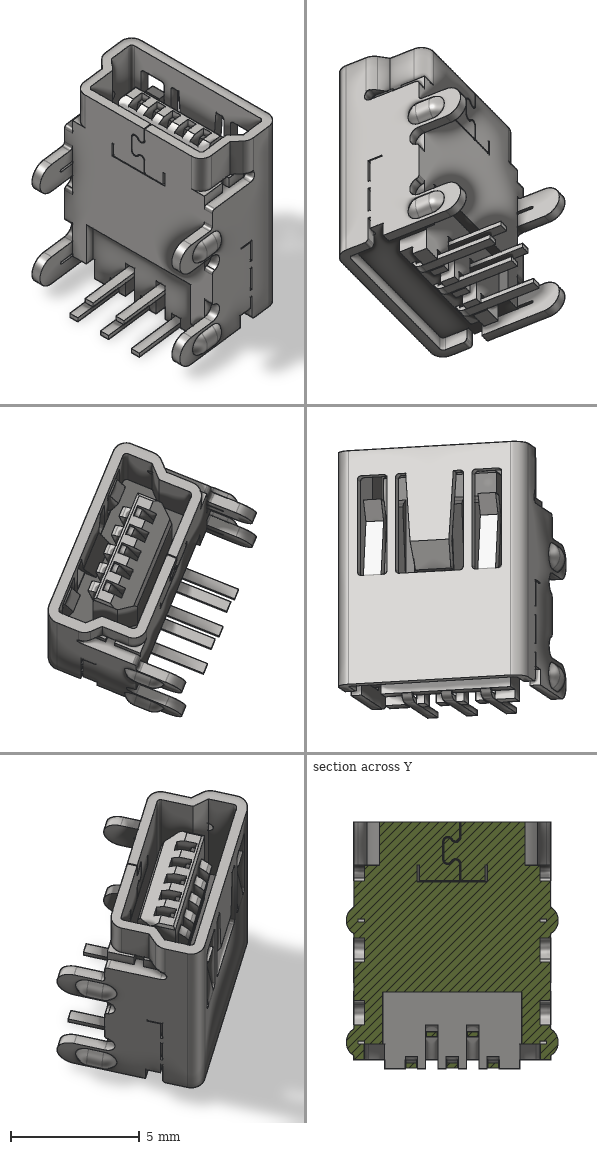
import cadquery as cq
import math


SELECT_TOLERANCE = 0.01

SHELL_HALF = 3.85
SHELL_DEPTH = 3.9
SHELL_TOP = 9.3
SIDE_WALL = 0.42
FRONT_WALL = 0.4
INNER_HALF = SHELL_HALF - SIDE_WALL
INNER_BACK = SHELL_DEPTH - SIDE_WALL
BACK_RADIUS = 0.55
INNER_RADIUS = 0.15

MOUTH_BOTTOM = 7.61
MOUTH_FRONT_HALF = 3.32
MOUTH_STEP_LOW = 1.65
MOUTH_STEP_HIGH = MOUTH_STEP_LOW + SHELL_HALF - MOUTH_FRONT_HALF
MOUTH_STEP_RADIUS = 0.6
MOUTH_FRONT_RADIUS = 0.55
MOUTH_SIDE_WALL = 0.38
CAVITY_FRONT_HALF = MOUTH_FRONT_HALF - MOUTH_SIDE_WALL
CAVITY_STEP_LOW = 1.82
CAVITY_STEP_HIGH = CAVITY_STEP_LOW + INNER_HALF - CAVITY_FRONT_HALF
CAVITY_FLOOR = 4.1

SIDE_SLOT_BOTTOM = 7.11
SIDE_SLOT_END = 2.5
CORNER_RADIUS = 0.15

LEG_HEIGHT = 1.38
LEG_RADIUS = LEG_HEIGHT / 2
LEG_TIP = -1.92
LEG_PITCH = 4.76
LEG_CENTRES = (LEG_RADIUS, LEG_RADIUS + LEG_PITCH)
RELIEF_RADIUS = 0.42
BUMP_PROUD = 0.3
BUMP_RADIUS = 0.525
BUMP_SPHERE = (BUMP_RADIUS**2 + BUMP_PROUD**2) / (2 * BUMP_PROUD)
BUMP_BACK = -0.03
BUMP_FRONT = -0.645
BUMP_LENGTH = BUMP_BACK - BUMP_FRONT
BUMP_MIDDLE = (BUMP_BACK + BUMP_FRONT) / 2
DIMPLE_WIDTH = 0.12
DIMPLE_DEPTH = 0.25

EDGE_NOTCH_HEIGHT = 0.62
EDGE_NOTCH_FRONT = 1.65
EDGE_NOTCH_BACK = 2.34
WINDOW_HALF = 2.71
WINDOW_TOP = 2.65

SLIT_WIDTH = 0.09
SLIT_TOP = 4.07
SLIT_HEAD_FRONT = 1.71
SLIT_HEAD_WIDTH = 0.05
SLIT_RUNS = ((EDGE_NOTCH_HEIGHT, 1.18), (1.54, 2.67), (3.03, SLIT_TOP))

SEAM_WIDTH = 0.04
SEAM_X = 0.31
SEAM_KEY_X = -0.345
SEAM_KEY_TOP = 8.59
SEAM_KEY_BOTTOM = 7.77
SEAM_WAVE = 0.09
SEAM_BOTTOM = 6.98
SEAM_CLIP_HALF = 1.33
SEAM_CLIP_WIDTH = 0.085

SPRING_WINDOW_TOP = 8.27
SPRING_WINDOW_BOTTOM = 4.3
SPRING_WINDOW_RADIUS = 0.15
SPRING_THICKNESS = SIDE_WALL
CENTRE_WINDOW_HALF = 1.38
CENTRE_SPRING_HALF = 0.97
CENTRE_SPRING_TIP_HALF = 0.72
CENTRE_SPRING_TIP_Y = 2.97
CENTRE_SPRING_TIP_Z = 4.5
CENTRE_SPRING_BEND_Z = 5.55
SIDE_SPRING_X = 2.33
SIDE_WINDOW_HALF = 0.6
SIDE_SPRING_HALF = 0.36
SIDE_SPRING_TOP = 7.3
SIDE_SPRING_CREST_Y = 3.13
SIDE_SPRING_CREST_Z = 6.5

GROOVE_BACK = 1.46
GROOVE_FRONT = 1.08
GROOVE_DEPTH = 0.3
FOOT_HALF = 2.64
FOOT_BOTTOM = -0.35
FOOT_FRONT = FRONT_WALL
FOOT_BACK = 1.05

TONGUE_HALF = 2.3
TONGUE_BACK = 2.45
TONGUE_FRONT = 0.8
TONGUE_TOP = 8.5
TONGUE_BEVEL = 0.1
TONGUE_EDGE_Y = 1.76
TONGUE_SLOPE_Y = 0.92
TONGUE_SLOPE_DROP = 0.45
TONGUE_NOSE_DROP = 0.3
TONGUE_CORNER_X = 0.53
TONGUE_CORNER_Y = 0.63

PIN_POSITIONS = (-2, -1, 0, 1, 2)
PIN_PITCH = 0.8
PIN_WIDTH = 0.42
PIN_THICKNESS = 0.21
PIN_TIP = -2.0
PIN_ROOT_Y = 1.61
LOW_PIN_TOP = -0.11
HIGH_PIN_TOP = 1.11
PIN_BEND_RADIUS = 0.43
PIN_SLOT_WIDTH = 0.47
PIN_SLOT_RISE = 0.25
CONTACT_RECESS = 0.35
CONTACT_TOP = TONGUE_TOP - CONTACT_RECESS
CONTACT_POCKET_BACK = 2.26
CONTACT_LAND_FRONT = 2.05
CONTACT_WELL_FRONT = 1.46
CONTACT_WELL_DEPTH = 1.7
CONTACT_BEND_Y = 2.74
CONTACT_CREST_Y = 2.87
CONTACT_BOW_TOP = 7.5
CONTACT_BEND_Z = 7.3
CONTACT_CREST_Z = 7.15


def box(x0, x1, y0, y1, z0, z1):
    """Block between two opposite corners."""
    return cq.Workplane("XY").box(x1 - x0, y1 - y0, z1 - z0, centered=False).translate((x0, y0, z0))


def both_sides(body):
    """Body together with its mirror image about X = 0."""
    return body.union(body.mirror("YZ"))


def yz_prism(points, x0, x1):
    """Outline in (Y, Z) swept from x0 to x1."""
    return cq.Workplane("YZ").workplane(offset=x0).polyline(points).close().extrude(x1 - x0)


def keyed_prism(half, front_half, front, back, step_low, step_high, z0, z1):
    """Keyed mouth section: wide at the back, narrowed by sloping steps at the front."""
    outline = [
        (-half, back), (-half, step_high), (-front_half, step_low), (-front_half, front),
        (front_half, front), (front_half, step_low), (half, step_high), (half, back),
    ]
    return cq.Workplane("XY").workplane(offset=z0).polyline(outline).close().extrude(z1 - z0)


def vertical_edges(body, half, y):
    """The pair of vertical edges at x = -half and x = +half for one y."""
    tol = SELECT_TOLERANCE
    left = cq.selectors.BoxSelector((-half - tol, y - tol, 0), (-half + tol, y + tol, SHELL_TOP))
    right = cq.selectors.BoxSelector((half - tol, y - tol, 0), (half + tol, y + tol, SHELL_TOP))
    return body.edges("|Z").edges(left + right)


def mouth_cavity(z0):
    """Open space of the receptacle from z0 to the mouth."""
    cavity = keyed_prism(INNER_HALF, CAVITY_FRONT_HALF, FRONT_WALL, INNER_BACK,
                         CAVITY_STEP_LOW, CAVITY_STEP_HIGH, z0, SHELL_TOP)
    cavity = vertical_edges(cavity, INNER_HALF, INNER_BACK).fillet(INNER_RADIUS)
    return vertical_edges(cavity, CAVITY_FRONT_HALF, FRONT_WALL).fillet(INNER_RADIUS)


def shell_mouth():
    """Keyed tube forming the upper end of the shell."""
    tube = keyed_prism(SHELL_HALF, MOUTH_FRONT_HALF, 0, SHELL_DEPTH,
                       MOUTH_STEP_LOW, MOUTH_STEP_HIGH, MOUTH_BOTTOM, SHELL_TOP)
    tube = vertical_edges(tube, SHELL_HALF, SHELL_DEPTH).fillet(BACK_RADIUS)
    tube = vertical_edges(tube, SHELL_HALF, MOUTH_STEP_HIGH).fillet(MOUTH_STEP_RADIUS)
    tube = vertical_edges(tube, MOUTH_FRONT_HALF, 0).fillet(MOUTH_FRONT_RADIUS)
    return tube.cut(mouth_cavity(MOUTH_BOTTOM))


def shell_body():
    """Rectangular tube below the mouth, with the window in its front plate."""
    outer = box(-SHELL_HALF, SHELL_HALF, 0, SHELL_DEPTH, 0, MOUTH_BOTTOM)
    outer = vertical_edges(outer, SHELL_HALF, SHELL_DEPTH).fillet(BACK_RADIUS)
    inner = box(-INNER_HALF, INNER_HALF, FRONT_WALL, INNER_BACK, 0, MOUTH_BOTTOM)
    inner = vertical_edges(inner, INNER_HALF, INNER_BACK).fillet(INNER_RADIUS)
    body = outer.cut(inner)
    body = body.cut(box(-WINDOW_HALF, WINDOW_HALF, 0, FRONT_WALL, 0, WINDOW_TOP))
    return body.cut(box(-INNER_HALF, INNER_HALF, 0, FRONT_WALL, 0, EDGE_NOTCH_HEIGHT))


def corner_round(y, z, y_sign, z_sign):
    """Sliver between the corner at (y, z) and an arc touching both of its sides."""
    r = CORNER_RADIUS
    y_ends = sorted((y, y + y_sign * r))
    z_ends = sorted((z, z + z_sign * r))
    sliver = box(INNER_HALF, SHELL_HALF, *y_ends, *z_ends)
    start = cq.Workplane("YZ").workplane(offset=INNER_HALF)
    return sliver.cut(start.center(y + y_sign * r, z + z_sign * r).circle(r).extrude(SIDE_WALL))


def side_slot():
    """Round-ended slot through one side wall under the mouth."""
    radius = (MOUTH_BOTTOM - SIDE_SLOT_BOTTOM) / 2
    end_y = SIDE_SLOT_END - radius
    slot = box(INNER_HALF, SHELL_HALF, 0, end_y, SIDE_SLOT_BOTTOM, MOUTH_BOTTOM)
    start = cq.Workplane("YZ").workplane(offset=INNER_HALF)
    slot = slot.union(start.center(end_y, SIDE_SLOT_BOTTOM + radius).circle(radius).extrude(SIDE_WALL))
    return slot.union(corner_round(0, SIDE_SLOT_BOTTOM, 1, -1))


def edge_notch():
    """Notch in the lower edge of one side wall, its back corner rounded."""
    notch = box(INNER_HALF, SHELL_HALF, EDGE_NOTCH_FRONT, EDGE_NOTCH_BACK, 0, EDGE_NOTCH_HEIGHT)
    return notch.union(corner_round(EDGE_NOTCH_BACK, 0, 1, 1))


def side_slit():
    """Interrupted slit in one side plate with a short horizontal head."""
    slit = box(INNER_HALF, SHELL_HALF, SLIT_HEAD_FRONT, EDGE_NOTCH_BACK, SLIT_TOP - SLIT_HEAD_WIDTH, SLIT_TOP)
    slit_front = EDGE_NOTCH_BACK - SLIT_WIDTH
    for bottom, top in SLIT_RUNS:
        slit = slit.union(box(INNER_HALF, SHELL_HALF, slit_front, EDGE_NOTCH_BACK, bottom, top))
    return slit


def relief(leg_edge, away):
    """Half-round relief beside a leg; away is the Z sign pointing from the leg along the side plate."""
    centre_z = leg_edge + away * RELIEF_RADIUS
    far_z = centre_z + away * math.sqrt(RELIEF_RADIUS**2 - CORNER_RADIUS**2)
    round_rise = CORNER_RADIUS * (1 - math.sqrt(0.5))
    outline = (
        cq.Workplane("YZ").workplane(offset=INNER_HALF)
        .moveTo(0, leg_edge)
        .threePointArc((RELIEF_RADIUS, centre_z), (CORNER_RADIUS, far_z))
        .threePointArc((round_rise, far_z + away * round_rise), (0, far_z + away * CORNER_RADIUS))
        .close()
    )
    return outline.extrude(SIDE_WALL)


def leg(z):
    """Round-ended solder leg with its locking bump on the outer face."""
    centre_y = LEG_TIP + LEG_RADIUS
    blade = box(INNER_HALF, SHELL_HALF, centre_y, 0, z - LEG_RADIUS, z + LEG_RADIUS)
    tip = cq.Workplane("YZ").workplane(offset=INNER_HALF).center(centre_y, z)
    blade = blade.union(tip.circle(LEG_RADIUS).extrude(SIDE_WALL))

    sphere_x = SHELL_HALF + BUMP_PROUD - BUMP_SPHERE
    bar = cq.Workplane("XZ").center(sphere_x, z).circle(BUMP_SPHERE).extrude(BUMP_LENGTH)
    bump = bar.translate((0, BUMP_BACK, 0))
    for y in (BUMP_BACK, BUMP_FRONT):
        bump = bump.union(cq.Workplane("XY").sphere(BUMP_SPHERE).translate((sphere_x, y, z)))
    outside = box(SHELL_HALF, SHELL_HALF + BUMP_PROUD, LEG_TIP, SHELL_DEPTH, z - LEG_RADIUS, z + LEG_RADIUS)
    return blade.union(bump.intersect(outside))


def leg_dimple(z):
    """Slot-shaped dimple in the inner face of a leg, behind its bump."""
    start = cq.Workplane("YZ").workplane(offset=INNER_HALF).center(BUMP_MIDDLE, z)
    return start.slot2D(BUMP_LENGTH + DIMPLE_WIDTH, DIMPLE_WIDTH).extrude(DIMPLE_DEPTH)


def seam():
    """Dovetail seam in the front plate and the clip outline below it."""
    middle_x = (SEAM_X + SEAM_KEY_X) / 2
    w = SEAM_WAVE
    path = (
        cq.Workplane("XZ")
        .moveTo(SEAM_X, SHELL_TOP + SEAM_WIDTH)
        .lineTo(SEAM_X, SEAM_KEY_TOP + w)
        .threePointArc((SEAM_X - w, SEAM_KEY_TOP - w / 2), (middle_x, SEAM_KEY_TOP + w / 4))
        .threePointArc((SEAM_KEY_X + w, SEAM_KEY_TOP + w), (SEAM_KEY_X, SEAM_KEY_TOP - w / 2))
        .lineTo(SEAM_KEY_X, SEAM_KEY_BOTTOM + w / 2)
        .threePointArc((SEAM_KEY_X + w, SEAM_KEY_BOTTOM - w), (middle_x, SEAM_KEY_BOTTOM - w / 4))
        .threePointArc((SEAM_X - w, SEAM_KEY_BOTTOM + w / 2), (SEAM_X, SEAM_KEY_BOTTOM - w))
        .lineTo(SEAM_X, SEAM_BOTTOM)
    )
    slit = path.offset2D(SEAM_WIDTH / 2).extrude(-FRONT_WALL)
    clip_outer = SEAM_CLIP_HALF + SEAM_CLIP_WIDTH / 2
    clip_inner = SEAM_CLIP_HALF - SEAM_CLIP_WIDTH / 2
    half_width = SEAM_WIDTH / 2
    base = box(-clip_outer, clip_outer, 0, FRONT_WALL, SEAM_BOTTOM - half_width, SEAM_BOTTOM + half_width)
    side = box(clip_inner, clip_outer, 0, FRONT_WALL, SEAM_BOTTOM, MOUTH_BOTTOM)
    return slit.union(base).union(both_sides(side))


def spring_window(x, half):
    """Round-cornered window through the back wall."""
    window = box(x - half, x + half, INNER_BACK, SHELL_DEPTH, SPRING_WINDOW_BOTTOM, SPRING_WINDOW_TOP)
    return window.edges("|Y").fillet(SPRING_WINDOW_RADIUS)


def centre_spring():
    """Tapered finger hanging from the top of the centre window, its tip bent inward."""
    t = SPRING_THICKNESS
    side_profile = yz_prism([
        (INNER_BACK, SPRING_WINDOW_TOP), (INNER_BACK, CENTRE_SPRING_BEND_Z),
        (CENTRE_SPRING_TIP_Y, CENTRE_SPRING_TIP_Z), (CENTRE_SPRING_TIP_Y + t, CENTRE_SPRING_TIP_Z),
        (INNER_BACK + t, CENTRE_SPRING_BEND_Z), (INNER_BACK + t, SPRING_WINDOW_TOP),
    ], -CENTRE_SPRING_HALF, CENTRE_SPRING_HALF)
    taper = cq.Workplane("XZ").polyline([
        (-CENTRE_SPRING_HALF, SPRING_WINDOW_TOP), (CENTRE_SPRING_HALF, SPRING_WINDOW_TOP),
        (CENTRE_SPRING_TIP_HALF, CENTRE_SPRING_TIP_Z), (-CENTRE_SPRING_TIP_HALF, CENTRE_SPRING_TIP_Z),
    ]).close().extrude(-SHELL_DEPTH)
    return side_profile.intersect(taper)


def side_spring():
    """Finger rising from the bottom of one side window, crowned inward."""
    t = SPRING_THICKNESS
    outline = [
        (INNER_BACK, SPRING_WINDOW_BOTTOM), (SIDE_SPRING_CREST_Y, SIDE_SPRING_CREST_Z),
        (INNER_BACK, SIDE_SPRING_TOP), (INNER_BACK + t, SIDE_SPRING_TOP),
        (SIDE_SPRING_CREST_Y + t, SIDE_SPRING_CREST_Z), (INNER_BACK + t, SPRING_WINDOW_BOTTOM),
    ]
    return yz_prism(outline, SIDE_SPRING_X - SIDE_SPRING_HALF, SIDE_SPRING_X + SIDE_SPRING_HALF)


def shell():
    """Complete folded shell with legs and springs."""
    cuts = side_slot().union(edge_notch()).union(side_slit())
    low, high = LEG_CENTRES
    cuts = cuts.union(relief(low + LEG_RADIUS, 1)).union(relief(high - LEG_RADIUS, -1))
    cuts = cuts.union(spring_window(SIDE_SPRING_X, SIDE_WINDOW_HALF))
    body = shell_mouth().union(shell_body()).cut(both_sides(cuts)).cut(seam())
    body = body.cut(spring_window(0, CENTRE_WINDOW_HALF))
    body = body.union(centre_spring()).union(both_sides(side_spring()))
    body = body.union(both_sides(corner_round(0, high + LEG_RADIUS, -1, 1)))
    for z in LEG_CENTRES:
        body = body.union(both_sides(leg(z))).cut(both_sides(leg_dimple(z)))
    return body


def tongue():
    """Contact tongue standing on the cavity floor."""
    nose_z = TONGUE_TOP - TONGUE_SLOPE_DROP
    side_profile = yz_prism([
        (TONGUE_BACK, CAVITY_FLOOR), (TONGUE_BACK, TONGUE_TOP - TONGUE_BEVEL),
        (TONGUE_BACK - TONGUE_BEVEL, TONGUE_TOP), (TONGUE_EDGE_Y, TONGUE_TOP),
        (TONGUE_SLOPE_Y, nose_z), (TONGUE_FRONT, nose_z - TONGUE_NOSE_DROP), (TONGUE_FRONT, CAVITY_FLOOR),
    ], -TONGUE_HALF, TONGUE_HALF)
    nose_half = TONGUE_HALF - TONGUE_CORNER_X
    shoulder_y = TONGUE_FRONT + TONGUE_CORNER_Y
    plan = cq.Workplane("XY").polyline([
        (-TONGUE_HALF, TONGUE_BACK), (-TONGUE_HALF, shoulder_y), (-nose_half, TONGUE_FRONT),
        (nose_half, TONGUE_FRONT), (TONGUE_HALF, shoulder_y), (TONGUE_HALF, TONGUE_BACK),
    ]).close().extrude(SHELL_TOP)
    body = side_profile.intersect(plan)
    return body.edges(">Z and |Y").chamfer(TONGUE_BEVEL)


def housing():
    """Plastic body: base, cavity walls grooved behind the side slots, tongue and foot."""
    body = box(-INNER_HALF, INNER_HALF, FRONT_WALL, INNER_BACK, EDGE_NOTCH_HEIGHT, MOUTH_BOTTOM)
    groove_floor = INNER_HALF - GROOVE_DEPTH
    groove = box(groove_floor, INNER_HALF, GROOVE_FRONT, GROOVE_BACK, SIDE_SLOT_BOTTOM, MOUTH_BOTTOM)
    body = body.cut(both_sides(groove))
    body = body.cut(mouth_cavity(CAVITY_FLOOR)).union(tongue())
    body = body.union(box(-FOOT_HALF, FOOT_HALF, FOOT_BACK, EDGE_NOTCH_FRONT, 0, EDGE_NOTCH_HEIGHT))
    return body.union(box(-FOOT_HALF, FOOT_HALF, FOOT_FRONT, FOOT_BACK, FOOT_BOTTOM, CAVITY_FLOOR))


def pin_slot(x, pin_top):
    """Slot for one pin, open at the lower edge of the foot."""
    half = PIN_SLOT_WIDTH / 2
    return box(x - half, x + half, 0, FOOT_BACK, FOOT_BOTTOM, pin_top + PIN_SLOT_RISE)


def pin(x, pin_top):
    """Pin leaving the base downward and bending toward -Y."""
    half = PIN_WIDTH / 2
    bottom = pin_top - PIN_THICKNESS
    tail = box(x - half, x + half, PIN_TIP, PIN_ROOT_Y, bottom, pin_top)
    riser = box(x - half, x + half, PIN_ROOT_Y - PIN_THICKNESS, PIN_ROOT_Y, bottom, CAVITY_FLOOR)
    return tail.union(riser).edges("|X and >Y and <Z").fillet(PIN_BEND_RADIUS)


def contact_well(x):
    """Well in front of one contact at the top of the tongue."""
    half = PIN_WIDTH / 2
    well_z = CONTACT_TOP - CONTACT_WELL_DEPTH
    return yz_prism([
        (CONTACT_POCKET_BACK, CONTACT_TOP), (CONTACT_LAND_FRONT, CONTACT_TOP), (CONTACT_WELL_FRONT, well_z),
        (CONTACT_WELL_FRONT, TONGUE_TOP), (CONTACT_POCKET_BACK, TONGUE_TOP),
    ], x - half, x + half)


def contact_bow(x):
    """Bowed contact face standing out behind the tongue."""
    half = PIN_WIDTH / 2
    return yz_prism([
        (TONGUE_BACK, CAVITY_FLOOR), (TONGUE_BACK, CONTACT_BOW_TOP), (CONTACT_BEND_Y, CONTACT_BEND_Z),
        (CONTACT_CREST_Y, CONTACT_CREST_Z),
    ], x - half, x + half)


def connector():
    """Shell and housing joined, with the five contacts."""
    body = housing()
    for index in PIN_POSITIONS:
        x = index * PIN_PITCH
        pin_top = HIGH_PIN_TOP if index % 2 else LOW_PIN_TOP
        body = body.cut(pin_slot(x, pin_top)).cut(contact_well(x))
        body = body.union(pin(x, pin_top)).union(contact_bow(x))
    return body.union(shell())


result = connector()